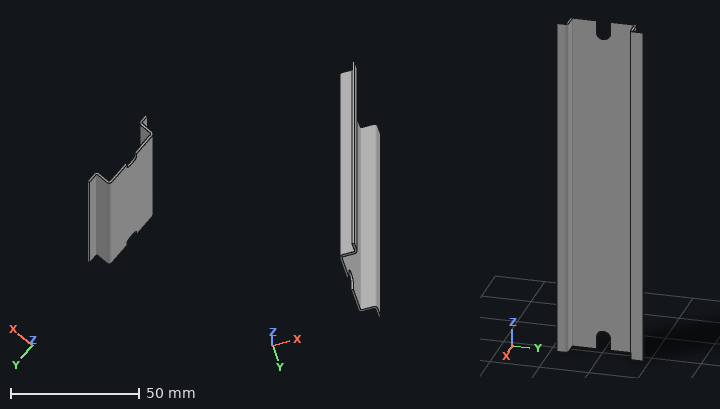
import cadquery as cq

length = 140.0
rail_width = 35.0
rail_depth = 7.5
thickness = 1.0

web_width = 27.0
web_center_y = -0.4
inner_bend_radius = 0.4
outer_bend_radius = inner_bend_radius + thickness

slot_width = 5.6
slot_depth = 7.7


def hat_section():
    """Closed hat outline: web at -X, flanges at +X."""
    front = -rail_depth / 2
    back = rail_depth / 2
    lip = rail_width / 2
    left_outer = web_center_y - web_width / 2
    left_inner = left_outer + thickness
    right_outer = web_center_y + web_width / 2
    right_inner = right_outer - thickness
    return cq.Workplane("XY").polyline([
        (front, left_outer),
        (back - thickness, left_outer),
        (back - thickness, -lip),
        (back, -lip),
        (back, left_inner),
        (front + thickness, left_inner),
        (front + thickness, right_inner),
        (back, right_inner),
        (back, lip),
        (back - thickness, lip),
        (back - thickness, right_outer),
        (front, right_outer),
    ]).close()


def bend_edges(body, x, offset, radius):
    """Round the pair of lengthwise edges at x, offset to both sides of the web center."""
    for side in (-1, 1):
        edge = cq.selectors.NearestToPointSelector((x, web_center_y + side * offset, length / 2))
        body = body.edges("|Z").edges(edge).fillet(radius)
    return body


def rail():
    body = hat_section().extrude(length)
    front = -rail_depth / 2
    back = rail_depth / 2
    wall_outer = web_width / 2
    wall_inner = wall_outer - thickness
    body = bend_edges(body, front, wall_outer, outer_bend_radius)
    body = bend_edges(body, front + thickness, wall_inner, inner_bend_radius)
    body = bend_edges(body, back, wall_inner, outer_bend_radius)
    return bend_edges(body, back - thickness, wall_outer, inner_bend_radius)


def end_slot(end_z, inward):
    """Cutter for a round-bottomed slot running inward from one end of the web."""
    round_z = end_z + inward * (slot_depth - slot_width / 2)
    tip_z = end_z + inward * slot_depth
    left = web_center_y - slot_width / 2
    right = web_center_y + slot_width / 2
    return (
        cq.Workplane("YZ", origin=(-rail_depth / 2, 0, 0))
        .moveTo(left, end_z)
        .lineTo(left, round_z)
        .threePointArc((web_center_y, tip_z), (right, round_z))
        .lineTo(right, end_z)
        .close()
        .extrude(thickness)
    )


result = rail().cut(end_slot(0, 1)).cut(end_slot(length, -1))